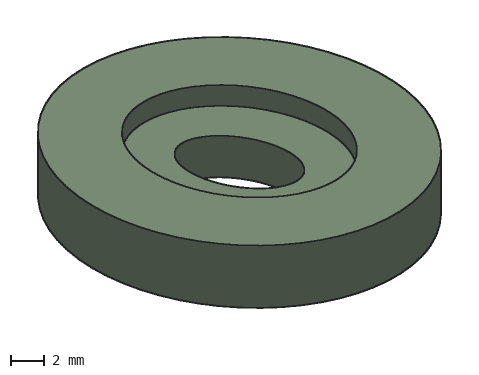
import cadquery as cq

hole_length = 8.0
hole_width = 5.0
ledge = 3.13
rim = 5.0
thickness = 4.5
recess_depth = 1.5

recess_length = hole_length + 2 * ledge
recess_width = hole_width + 2 * ledge
outer_length = recess_length + 2 * rim
outer_width = recess_width + 2 * rim


def elliptic_disc(length, width, height, base_z=0):
    """Upright elliptic cylinder centred on the Z axis."""
    return cq.Workplane("XY", origin=(0, 0, base_z)).ellipse(length / 2, width / 2).extrude(height)


body = elliptic_disc(outer_length, outer_width, thickness)
recess = elliptic_disc(recess_length, recess_width, recess_depth, thickness - recess_depth)
through_hole = elliptic_disc(hole_length, hole_width, thickness)

result = body.cut(recess).cut(through_hole)